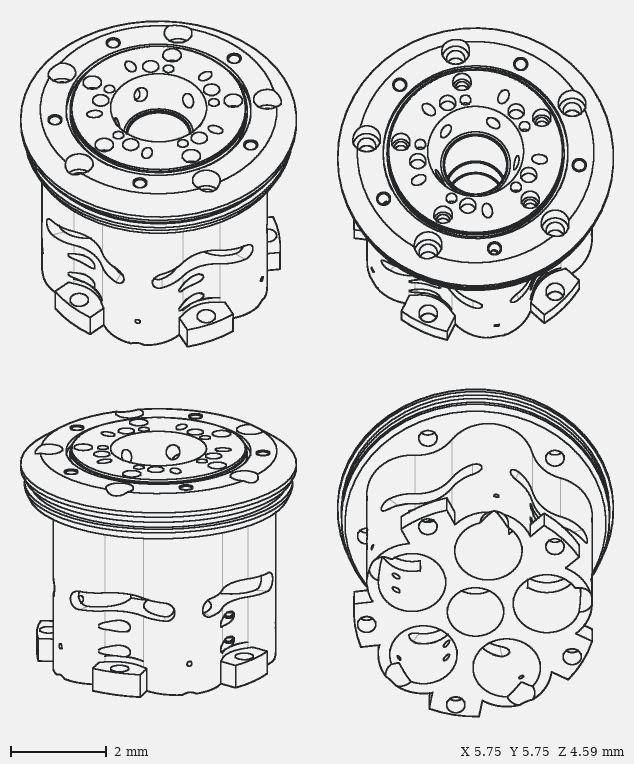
import cadquery as cq
import math

COUNT = 5
STEP_ANGLE = 360 / COUNT
LOBE_ANGLES = [90 + i * STEP_ANGLE for i in range(COUNT)]
VALLEY_ANGLES = [angle + STEP_ANGLE / 2 for angle in LOBE_ANGLES]
HALF_STEP = math.radians(STEP_ANGLE / 2)

TOTAL_HEIGHT = 4.59
DISC_HEIGHT = 0.06
FLANGE_TOP = TOTAL_HEIGHT - DISC_HEIGHT
FLANGE_BOTTOM = 3.615

FLANGE_RADIUS = 2.875
FLANGE_FLAT_RADIUS = 2.465
LIP_TOP = 4.255
LIP_BOTTOM = 4.16
LAND_RADIUS = 2.795
SEAL_GROOVE_RADIUS = 2.68
SEAL_GROOVE_TOP = 4.015
SEAL_GROOVE_BOTTOM = 3.86
CHAMFER_TOP = 3.78
FLANGE_BOTTOM_RADIUS = 2.72

DISC_RADIUS = 1.81
RING_GROOVE_INNER = 1.845
RING_GROOVE_OUTER = 1.925
RING_GROOVE_DEPTH = 0.115

LOBE_OFFSET = 1.5
LOBE_RADIUS = 0.945
VALLEY_RADIUS = 0.88

CHAMBER_RADIUS = 0.7
CHAMBER_TOP = 3.91

MOUTH_RADIUS = 1.0
CONE_END_RADIUS = 0.725
CONE_END = 3.825
SEAT_RADIUS = 0.67
SEAT_DEPTH = 0.04
UPPER_BORE_RADIUS = 0.65
MIDDLE_BORE_RADIUS = 0.615
MIDDLE_BORE_TOP = 2.3
LOWER_BORE_RADIUS = 0.585
LOWER_BORE_TOP = 1.725

PORT_HEIGHT = 0.4
PORT_Z = 1.84
PORT_INNER_RADIUS = 1.15
PORT_END_ANGLE = 24.0
CUT_RADIUS = 3.16

LUG_WIDTH = 1.06
LUG_RADIUS = 2.535
LUG_HEIGHT = 0.5
LUG_ROOT = 1.725
BOLT_CIRCLE = 2.29
BOLT_RADIUS = 0.19
BOLT_HEAD_RADIUS = 0.29
BOLT_HEAD_DEPTH = 0.46

RELIEF_TOP = 0.63
RELIEF_DEPTH = 0.02

JET_HEIGHTS = [0.75, 1.305]
JET_RADIUS = 0.125
JET_BORE_RADIUS = 0.085
JET_SEAT_DISTANCE = 0.92
JET_LENGTH = 1.15

PIN_RADIUS = 0.05
PIN_Z = 0.69
EDGE_HOLE_CIRCLE = 2.18
EDGE_HOLE_RADIUS = 0.12
EDGE_HOLE_MOUTH_RADIUS = 0.145
EDGE_HOLE_DEPTH = 0.86
BASE_SINK_RADIUS = 0.295
BASE_SINK_HEIGHT = 0.52

STEPPED_CIRCLE = 1.57
STEPPED_RADIUS = 0.19
STEPPED_DEPTH = 0.345
STEPPED_PILOT_RADIUS = 0.14
STEPPED_PILOT_DEPTH = 0.575
DOWEL_CIRCLE = 1.225
DOWEL_RADIUS = 0.165
DOWEL_DEPTH = 0.345
DRILL_CIRCLE = 1.16
DRILL_RADIUS = 0.11
DRILL_DEPTH = 0.46
DOWEL_ANGLES = [i * STEP_ANGLE for i in range(COUNT)]

DISC_PASSAGE_START = 1.345
DISC_PASSAGE_RADIUS = 0.105
DISC_PASSAGE_SLOPE = 40.0
DISC_PASSAGE_LENGTH = 1.09
CONE_PASSAGE_Z = 4.2
CONE_PASSAGE_RADIUS = 0.15
CONE_PASSAGE_SLOPE = 32.0
CONE_PASSAGE_LENGTH = 0.92
PASSAGE_LEAD = 0.17


def polar(radius, degrees):
    """Point in the XY plane at a radius and an angle."""
    angle = math.radians(degrees)
    return (radius * math.cos(angle), radius * math.sin(angle))


def cylinder(radius, bottom, top, center=(0, 0)):
    """Upright cylinder between two heights."""
    base = cq.Workplane("XY").workplane(offset=bottom).center(*center)
    return base.circle(radius).extrude(top - bottom)


def rod(radius, start, direction, length):
    """Cylinder from a start point along a direction."""
    return cq.Workplane(cq.Solid.makeCylinder(radius, length, cq.Vector(*start), cq.Vector(*direction)))


def drill(radius, center, top, depth):
    """Blind hole with a 90 degree conical tip below its full depth."""
    tip = cq.Solid.makeCone(0, radius, radius, cq.Vector(*center, top - depth - radius))
    return cylinder(radius, top - depth, top, center).union(cq.Workplane(tip))


def around(tool, angles):
    """Copies of a tool made on the +X axis, turned to each angle."""
    copies = [tool.rotate((0, 0, 0), (0, 0, 1), angle).val() for angle in angles]
    return cq.Workplane(cq.Compound.makeCompound(copies))


def revolve_profile(points):
    """Solid of revolution about Z from (radius, height) points."""
    return cq.Workplane("XZ").polyline(points).close().revolve(360, (0, 0, 0), (0, 1, 0))


def valley_center_distance():
    """Distance from the axis to the center of a valley arc tangent to both neighboring lobes."""
    side = LOBE_OFFSET * math.sin(HALF_STEP)
    reach = math.sqrt((LOBE_RADIUS + VALLEY_RADIUS) ** 2 - side ** 2)
    return LOBE_OFFSET * math.cos(HALF_STEP) + reach


VALLEY_CENTER = valley_center_distance()
VALLEY_FLOOR = VALLEY_CENTER - VALLEY_RADIUS
VALLEY_SHARE = VALLEY_RADIUS / (LOBE_RADIUS + VALLEY_RADIUS)
VALLEY_HALF_WIDTH = VALLEY_SHARE * LOBE_OFFSET * math.sin(HALF_STEP)
VALLEY_EDGE = VALLEY_CENTER - math.sqrt(VALLEY_RADIUS ** 2 - VALLEY_HALF_WIDTH ** 2)
VALLEY_EDGE_RADIUS = math.hypot(VALLEY_EDGE, VALLEY_HALF_WIDTH)
VALLEY_EDGE_ANGLE = math.degrees(math.atan2(VALLEY_HALF_WIDTH, VALLEY_EDGE))


def make_body():
    """Lobed column made of tangent convex and concave arcs."""
    first_valley = LOBE_ANGLES[0] - STEP_ANGLE / 2
    outline = cq.Workplane("XY").moveTo(*polar(VALLEY_EDGE_RADIUS, first_valley + VALLEY_EDGE_ANGLE))
    for lobe in LOBE_ANGLES:
        valley = lobe + STEP_ANGLE / 2
        outline = outline.threePointArc(
            polar(LOBE_OFFSET + LOBE_RADIUS, lobe),
            polar(VALLEY_EDGE_RADIUS, valley - VALLEY_EDGE_ANGLE),
        )
        outline = outline.threePointArc(
            polar(VALLEY_FLOOR, valley),
            polar(VALLEY_EDGE_RADIUS, valley + VALLEY_EDGE_ANGLE),
        )
    return outline.close().extrude(FLANGE_BOTTOM)


def make_flange():
    """Flange with a sloped rim, a seal groove and a raised disc inside a ring groove."""
    groove_floor = FLANGE_TOP - RING_GROOVE_DEPTH
    return revolve_profile([
        (0, FLANGE_BOTTOM),
        (FLANGE_BOTTOM_RADIUS, FLANGE_BOTTOM),
        (LAND_RADIUS, CHAMFER_TOP),
        (LAND_RADIUS, SEAL_GROOVE_BOTTOM),
        (SEAL_GROOVE_RADIUS, SEAL_GROOVE_BOTTOM),
        (SEAL_GROOVE_RADIUS, SEAL_GROOVE_TOP),
        (LAND_RADIUS, SEAL_GROOVE_TOP),
        (LAND_RADIUS, LIP_BOTTOM),
        (FLANGE_RADIUS, LIP_BOTTOM),
        (FLANGE_RADIUS, LIP_TOP),
        (FLANGE_FLAT_RADIUS, FLANGE_TOP),
        (RING_GROOVE_OUTER, FLANGE_TOP),
        (RING_GROOVE_OUTER, groove_floor),
        (RING_GROOVE_INNER, groove_floor),
        (RING_GROOVE_INNER, FLANGE_TOP),
        (DISC_RADIUS, FLANGE_TOP),
        (DISC_RADIUS, TOTAL_HEIGHT),
        (0, TOTAL_HEIGHT),
    ])


def make_lugs():
    """Foot lugs in the valleys: parallel sides, outer face concentric with the axis."""
    bar = cq.Workplane("XY").center((LUG_ROOT + LUG_RADIUS) / 2, 0)
    bar = bar.rect(LUG_RADIUS - LUG_ROOT, LUG_WIDTH).extrude(LUG_HEIGHT)
    return around(bar.intersect(cylinder(LUG_RADIUS, 0, LUG_HEIGHT)), VALLEY_ANGLES)


def bore_cut():
    """Conical mouth, shallow seat and stepped through bore."""
    seat_floor = CONE_END - SEAT_DEPTH
    return revolve_profile([
        (0, 0),
        (LOWER_BORE_RADIUS, 0),
        (LOWER_BORE_RADIUS, LOWER_BORE_TOP),
        (MIDDLE_BORE_RADIUS, LOWER_BORE_TOP),
        (MIDDLE_BORE_RADIUS, MIDDLE_BORE_TOP),
        (UPPER_BORE_RADIUS, MIDDLE_BORE_TOP),
        (UPPER_BORE_RADIUS, seat_floor),
        (SEAT_RADIUS, seat_floor),
        (SEAT_RADIUS, CONE_END),
        (CONE_END_RADIUS, CONE_END),
        (MOUTH_RADIUS, TOTAL_HEIGHT),
        (0, TOTAL_HEIGHT),
    ])


def chamber_cuts():
    """Chambers open at the base."""
    chamber = cylinder(CHAMBER_RADIUS, 0, CHAMBER_TOP, (LOBE_OFFSET, 0))
    return around(chamber, LOBE_ANGLES)


def port_cuts():
    """Round-ended ports that follow the circumference across each valley."""
    bottom = PORT_Z - PORT_HEIGHT / 2
    sector = (
        cq.Workplane("XY").workplane(offset=bottom)
        .moveTo(*polar(PORT_INNER_RADIUS, -PORT_END_ANGLE))
        .lineTo(*polar(CUT_RADIUS, -PORT_END_ANGLE))
        .threePointArc((CUT_RADIUS, 0), polar(CUT_RADIUS, PORT_END_ANGLE))
        .lineTo(*polar(PORT_INNER_RADIUS, PORT_END_ANGLE))
        .threePointArc((PORT_INNER_RADIUS, 0), polar(PORT_INNER_RADIUS, -PORT_END_ANGLE))
        .close()
        .extrude(PORT_HEIGHT)
    )
    for angle in (-PORT_END_ANGLE, PORT_END_ANGLE):
        start = (*polar(PORT_INNER_RADIUS, angle), PORT_Z)
        length = CUT_RADIUS - PORT_INNER_RADIUS
        sector = sector.union(rod(PORT_HEIGHT / 2, start, (*polar(1, angle), 0), length))
    return around(sector, VALLEY_ANGLES)


def relief_cuts():
    """Crescents that deepen the foot of each valley between its two edges."""
    crescent = (
        cq.Workplane("XY")
        .moveTo(VALLEY_EDGE, -VALLEY_HALF_WIDTH)
        .threePointArc((VALLEY_FLOOR - RELIEF_DEPTH, 0), (VALLEY_EDGE, VALLEY_HALF_WIDTH))
        .close()
        .extrude(RELIEF_TOP)
    )
    return around(crescent, VALLEY_ANGLES)


def bolt_cuts():
    """Counterbored bolt holes through the flange and the lugs."""
    center = (BOLT_CIRCLE, 0)
    hole = cylinder(BOLT_RADIUS, 0, TOTAL_HEIGHT, center)
    head = cylinder(BOLT_HEAD_RADIUS, FLANGE_TOP - BOLT_HEAD_DEPTH, TOTAL_HEIGHT, center)
    return around(hole.union(head), VALLEY_ANGLES)


def jet_cuts():
    """Flat-seated jets, two per chamber, each with a narrow bore through the chamber wall."""
    jets = []
    for z in JET_HEIGHTS:
        bore = rod(JET_BORE_RADIUS, (LOBE_OFFSET, 0, z), (0, -1, 0), JET_SEAT_DISTANCE)
        jet = rod(JET_RADIUS, (LOBE_OFFSET, -JET_SEAT_DISTANCE, z), (0, -1, 0), JET_LENGTH)
        jets.append(jet.union(bore).val())
    return around(cq.Workplane(cq.Compound.makeCompound(jets)), LOBE_ANGLES)


def lobe_tip_cuts():
    """Radial pin hole, flange edge hole and base countersink at each lobe."""
    center = (EDGE_HOLE_CIRCLE, 0)
    pin = rod(PIN_RADIUS, (LOBE_OFFSET, 0, PIN_Z), (1, 0, 0), CUT_RADIUS - LOBE_OFFSET)
    hole = drill(EDGE_HOLE_RADIUS, center, FLANGE_TOP, EDGE_HOLE_DEPTH)
    mouth_depth = EDGE_HOLE_MOUTH_RADIUS - EDGE_HOLE_RADIUS
    mouth = cq.Solid.makeCone(
        EDGE_HOLE_RADIUS, EDGE_HOLE_MOUTH_RADIUS, mouth_depth, cq.Vector(*center, FLANGE_TOP - mouth_depth)
    )
    sink = cq.Solid.makeCone(BASE_SINK_RADIUS, 0, BASE_SINK_HEIGHT, cq.Vector(*center, 0))
    tools = cq.Compound.makeCompound([pin.val(), hole.union(cq.Workplane(mouth)).val(), sink])
    return around(cq.Workplane(tools), LOBE_ANGLES)


def disc_hole_cuts():
    """Stepped holes and drilled holes at the valleys, dowel holes between."""
    stepped_center = (STEPPED_CIRCLE, 0)
    stepped = cylinder(STEPPED_RADIUS, TOTAL_HEIGHT - STEPPED_DEPTH, TOTAL_HEIGHT, stepped_center)
    pilot = cylinder(STEPPED_PILOT_RADIUS, TOTAL_HEIGHT - STEPPED_PILOT_DEPTH, TOTAL_HEIGHT, stepped_center)
    drilled = drill(DRILL_RADIUS, (DRILL_CIRCLE, 0), TOTAL_HEIGHT, DRILL_DEPTH)
    dowel = cylinder(DOWEL_RADIUS, TOTAL_HEIGHT - DOWEL_DEPTH, TOTAL_HEIGHT, (DOWEL_CIRCLE, 0))
    return [
        around(stepped.union(pilot), VALLEY_ANGLES),
        around(drilled, VALLEY_ANGLES),
        around(dowel, DOWEL_ANGLES),
    ]


def mouth_cone_radius(z):
    """Radius of the conical mouth at a height."""
    share = (z - CONE_END) / (TOTAL_HEIGHT - CONE_END)
    return CONE_END_RADIUS + share * (MOUTH_RADIUS - CONE_END_RADIUS)


def passage_cuts(radius, slope, start_radius, start_z, length):
    """Sloping passage at every lobe, begun a little before its mouth so that it opens fully."""
    across = math.cos(math.radians(slope))
    down = math.sin(math.radians(slope))
    start = (start_radius - PASSAGE_LEAD * across, 0, start_z + PASSAGE_LEAD * down)
    return around(rod(radius, start, (across, 0, -down), length + PASSAGE_LEAD), LOBE_ANGLES)


def disc_passage_cuts():
    """Passages from the top of the disc."""
    return passage_cuts(
        DISC_PASSAGE_RADIUS, DISC_PASSAGE_SLOPE, DISC_PASSAGE_START, TOTAL_HEIGHT, DISC_PASSAGE_LENGTH
    )


def cone_passage_cuts():
    """Passages from the wall of the conical mouth."""
    start_radius = mouth_cone_radius(CONE_PASSAGE_Z)
    return passage_cuts(
        CONE_PASSAGE_RADIUS, CONE_PASSAGE_SLOPE, start_radius, CONE_PASSAGE_Z, CONE_PASSAGE_LENGTH
    )


result = make_body().union(make_flange())
result = result.cut(relief_cuts()).union(make_lugs())
cuts = [
    bore_cut(),
    chamber_cuts(),
    port_cuts(),
    bolt_cuts(),
    jet_cuts(),
    lobe_tip_cuts(),
    *disc_hole_cuts(),
    disc_passage_cuts(),
    cone_passage_cuts(),
]
for cut in cuts:
    result = result.cut(cut)